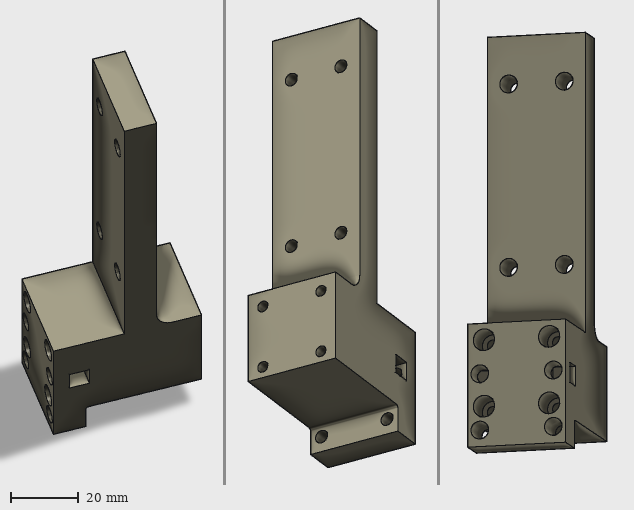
import cadquery as cq

width = 30.0
depth = 46.0
height = 127.0
front_y = -depth / 2
back_y = depth / 2
plate_thickness = 10.0
plate_front_y = front_y + 22.0
plate_back_y = plate_front_y + plate_thickness
block_top_z = 37.0
lip_drop = 8.5
lip_back_y = front_y + plate_thickness
plate_fillet = 5.0
lip_fillet = 1.0

screw_diameter = 3.4
screw_head_diameter = 6.5
screw_head_depth = 10.0
screw_spacing = 20.0
screw_low_z = 12.1

insert_diameter = 5.3
insert_depth = 5.0
bolt_diameter = 4.1
block_insert_spacing = 22.5
lip_insert_z = 5.0
pocket_z = 21.9
plate_insert_spacing_x = 17.0
plate_insert_low_z = 57.7
plate_insert_spacing_z = 55.0

pocket_front_y = front_y + insert_depth
pocket_length = 6.2
pocket_height = 6.0
pocket_depth = 7.0


def drill(diameter, x, z, start_y, length):
    """Cylinder along +Y that starts at start_y."""
    start = cq.Vector(x, start_y, z)
    return cq.Workplane(cq.Solid.makeCylinder(diameter / 2, length, start, cq.Vector(0, 1, 0)))


def insert_taper(x, z, start_y):
    """Cone along +Y that narrows from the insert mouth to the bolt diameter."""
    start = cq.Vector(x, start_y, z)
    cone = cq.Solid.makeCone(insert_diameter / 2, bolt_diameter / 2, insert_depth, start, cq.Vector(0, 1, 0))
    return cq.Workplane(cone)


def screw_hole(x, z):
    """Counterbored screw hole through the full depth of the block."""
    head = drill(screw_head_diameter, x, z, front_y, screw_head_depth)
    return drill(screw_diameter, x, z, front_y, depth).union(head)


def insert_hole(x, z, start_y):
    """Tapered mouth followed by a bolt hole through a wall as thick as the plate."""
    return drill(bolt_diameter, x, z, start_y, plate_thickness).union(insert_taper(x, z, start_y))


def nut_pocket(side):
    """Square blind pocket that opens on one side face."""
    pocket = cq.Workplane("XY").box(2 * pocket_depth, pocket_length, pocket_height)
    return pocket.translate((side * width / 2, pocket_front_y + pocket_length / 2, pocket_z))


def make_body():
    """Block, lip and upright plate as one side profile, extruded along X."""
    outline = [
        (front_y, 0),
        (lip_back_y, 0),
        (lip_back_y, lip_drop),
        (back_y, lip_drop),
        (back_y, block_top_z),
        (plate_back_y, block_top_z),
        (plate_back_y, height),
        (plate_front_y, height),
        (plate_front_y, block_top_z),
        (front_y, block_top_z),
    ]
    body = cq.Workplane("YZ").polyline(outline).close().extrude(width / 2, both=True)
    body = body.edges(cq.NearestToPointSelector((0, plate_back_y, block_top_z))).fillet(plate_fillet)
    return body.edges(cq.NearestToPointSelector((0, lip_back_y, lip_drop))).fillet(lip_fillet)


result = make_body()

for side in (-1, 1):
    for z in (screw_low_z, screw_low_z + screw_spacing):
        result = result.cut(screw_hole(side * screw_spacing / 2, z))

    for z in (plate_insert_low_z, plate_insert_low_z + plate_insert_spacing_z):
        result = result.cut(insert_hole(side * plate_insert_spacing_x / 2, z, plate_front_y))

    result = result.cut(insert_hole(side * block_insert_spacing / 2, lip_insert_z, front_y))
    result = result.cut(insert_taper(side * block_insert_spacing / 2, pocket_z, front_y))
    result = result.cut(nut_pocket(side))